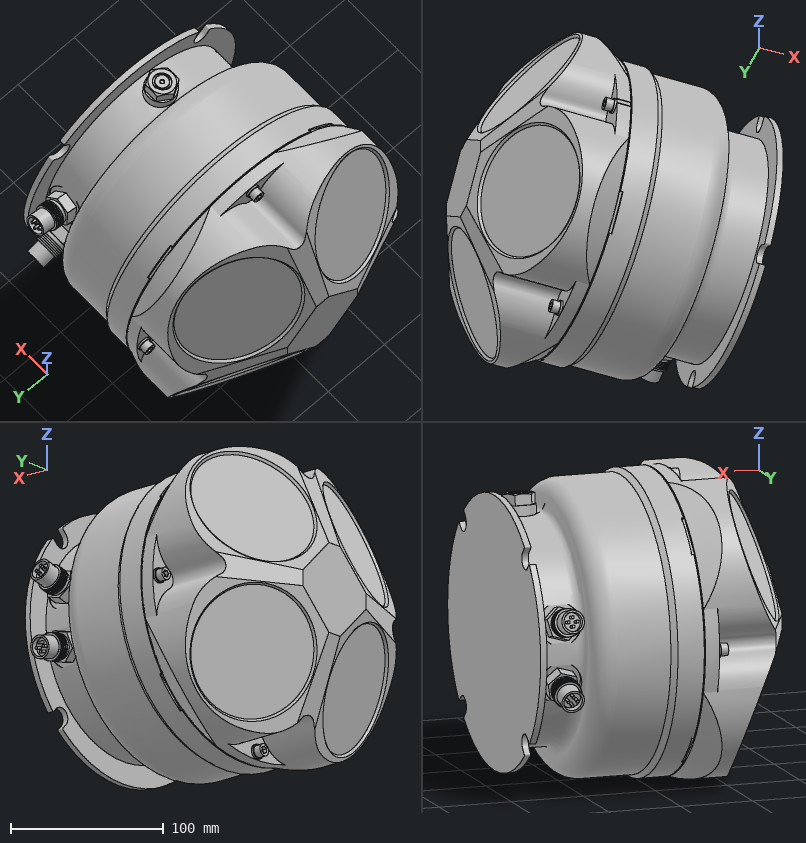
import cadquery as cq
import math


ear_front = 68.3
head_end = 78.1
ring_end = 97.2
ring_bevel_end = 101.0
drum_end = 137.5
shoulder_end = 152.7
neck_start = 159.5
flange_front = 184.5
total_length = 189.0

ring_radius = 102.5
drum_radius = 99.6
shoulder_fillet = shoulder_end - drum_end
neck_radius = 76.9
neck_fillet = neck_start - shoulder_end
flange_radius = 92.5

seam_width = 0.6
seam_depth = 0.8

lobe_radius = 65.5
lobe_offset = 33.2
lobe_distance = lobe_offset * math.sqrt(2)
lobe_corner_radius = 27.9
valley_radius = 7.2
valley_bottom = 82.5
nose_half_width = 31.2
nose_edge_half = 5.5
lens_tilt = 30.0
valley_slope = 0.43
rear_cone_angle = 30.0

lens_diameter = 91.5
lens_distance = 71.3
lens_floor_diameter = 88.5
lens_depth = 1.8

screw_distance = 97.0
washer_diameter = 10.0
washer_thickness = 1.5
screw_head_diameter = 8.5
screw_head_height = 5.3
socket_size = 5.0
socket_depth = 3.0
ear_groove_width = 3.7
ear_groove_depth = 0.5

ring_slot_width = 28.5
ring_slot_length = 2.3
ring_slot_floor = 100.5

notch_width = 12.7
notch_centre = 87.1
notch_corner_fillet = 1.2

plug_x = 169.1
cap_x = 168.0
seat_radius = 75.8
seat_diameter = 28.7
hex_corners = 23.0
plug_angles = (-15.0, 15.0)
cap_angle = 97.5
plug_hex_top = 84.0
plug_hex_turn = -17.0
thread_top = 93.5
thread_diameter = 18.9
thread_root = 17.5
thread_pitch = 2.7
thread_count = 3
plug_top = 103.7
plug_diameter = 15.5
plug_bore = 12.7
plug_bore_depth = 4.0
pin_diameter = 2.0
pin_circle = 6.2
pin_count = 4
cap_base_top = 83.2
cap_top = 91.0
cap_face_diameter = 18.9
cap_bevel_height = 1.0
cap_ring_outer = 12.7
cap_ring_inner = 9.8
cap_ring_depth = 1.2
cap_hole = 3.0

QUARTERS = (0, 90, 180, 270)
DIAGONALS = (45, 135, 225, 315)


def around_axis(shape, angle):
    return shape.rotate((0, 0, 0), (1, 0, 0), angle)


def axial_cylinder(diameter, x_start, x_end, y):
    return cq.Workplane("YZ", origin=(x_start, y, 0)).circle(diameter / 2).extrude(x_end - x_start)


def turned_body():
    diagonal = math.sqrt(0.5)
    shoulder_centre = drum_radius - shoulder_fillet
    profile = (
        cq.Workplane("XY")
        .moveTo(head_end, 0)
        .lineTo(head_end, ring_radius - seam_depth)
        .lineTo(head_end + seam_width, ring_radius - seam_depth)
        .lineTo(head_end + seam_width, ring_radius)
        .lineTo(ring_end, ring_radius)
        .lineTo(ring_bevel_end, drum_radius)
        .lineTo(drum_end, drum_radius)
        .threePointArc(
            (drum_end + shoulder_fillet * diagonal, shoulder_centre + shoulder_fillet * diagonal),
            (shoulder_end, shoulder_centre),
        )
        .lineTo(shoulder_end, neck_radius + neck_fillet)
        .threePointArc(
            (neck_start - neck_fillet * diagonal, neck_radius + neck_fillet * (1 - diagonal)),
            (neck_start, neck_radius),
        )
        .lineTo(flange_front, neck_radius)
        .lineTo(flange_front, 0)
        .close()
    )
    return profile.revolve(360, (0, 0, 0), (1, 0, 0))


def head_outline():
    """Four lobes joined by rounded valleys, one quarter at a time."""
    diagonal = math.sqrt(0.5)
    valley_centre = valley_bottom + valley_radius
    valley_u = valley_centre * diagonal
    corner_reach = lobe_radius - lobe_corner_radius
    valley_reach = valley_radius + lobe_corner_radius
    span = math.hypot(valley_u - lobe_distance, valley_u)
    span_angle = math.atan2(valley_u, valley_u - lobe_distance)
    spread = math.acos((corner_reach ** 2 + span ** 2 - valley_reach ** 2) / (2 * corner_reach * span))
    lobe_end = span_angle - spread

    def on_circle(centre, radius, angle):
        return centre[0] + radius * math.cos(angle), centre[1] + radius * math.sin(angle)

    lobe_centre = (lobe_distance, 0)
    corner_centre = on_circle(lobe_centre, corner_reach, lobe_end)
    valley_centre_point = (valley_u, valley_u)
    corner_end = math.atan2(valley_u - corner_centre[1], valley_u - corner_centre[0])
    valley_start = corner_end + math.pi
    valley_floor_angle = 1.25 * math.pi

    lobe_join = on_circle(lobe_centre, lobe_radius, lobe_end)
    corner_mid = on_circle(corner_centre, lobe_corner_radius, (lobe_end + corner_end) / 2)
    corner_join = on_circle(corner_centre, lobe_corner_radius, corner_end)
    valley_mid = on_circle(valley_centre_point, valley_radius, (valley_start + valley_floor_angle) / 2)
    floor = on_circle(valley_centre_point, valley_radius, valley_floor_angle)

    def mirrored(point):
        return point[0], -point[1]

    wire = cq.Workplane("YZ")
    for index, turn in enumerate(DIAGONALS):
        cosine = math.cos(math.radians(turn))
        sine = math.sin(math.radians(turn))

        def place(point):
            return point[0] * cosine - point[1] * sine, point[0] * sine + point[1] * cosine

        if index == 0:
            wire = wire.moveTo(*place(mirrored(floor)))
        wire = (
            wire.threePointArc(place(mirrored(valley_mid)), place(mirrored(corner_join)))
            .threePointArc(place(mirrored(corner_mid)), place(mirrored(lobe_join)))
            .threePointArc(place((lobe_distance + lobe_radius, 0)), place(lobe_join))
            .threePointArc(place(corner_mid), place(corner_join))
            .threePointArc(place(valley_mid), place(floor))
        )
    return wire.close()


def nose_section(x):
    """Corners of the octagonal section of the nose pyramid at x."""
    lens_edge = nose_half_width + nose_edge_half + x / math.tan(math.radians(lens_tilt)) * math.sqrt(2)
    far = nose_half_width + x / valley_slope
    near = lens_edge - far
    return [
        (far, near), (near, far), (-near, far), (-far, near),
        (-far, -near), (-near, -far), (near, -far), (far, -near),
    ]


def nose_pyramid():
    return (
        cq.Workplane("YZ")
        .polyline(nose_section(0)).close()
        .workplane(offset=head_end)
        .polyline(nose_section(head_end)).close()
        .loft(ruled=True, combine=True)
    )


def rear_cone():
    front_radius = ring_radius + head_end * math.tan(math.radians(rear_cone_angle))
    return (
        cq.Workplane("XY")
        .polyline([(0, 0), (0, front_radius), (head_end, ring_radius), (head_end, 0)])
        .close()
        .revolve(360, (0, 0, 0), (1, 0, 0))
    )


def lens_seat():
    """Cutter for the shallow tapered seat in the lens face that leans towards +Y."""
    tilt = math.radians(lens_tilt)
    face_start = (nose_half_width + nose_edge_half) * math.sqrt(0.5)
    centre_x = (lens_distance - face_start) * math.tan(tilt)
    outward = (-math.cos(tilt), math.sin(tilt), 0)
    face = cq.Plane(origin=(centre_x, lens_distance, 0), xDir=(0, 0, 1), normal=outward)
    return (
        cq.Workplane(face)
        .circle(lens_diameter / 2)
        .workplane(offset=-lens_depth)
        .circle(lens_floor_diameter / 2)
        .loft(combine=True)
    )


def head():
    lobes = head_outline().extrude(head_end)
    body = lobes.intersect(nose_pyramid()).intersect(rear_cone())
    for angle in DIAGONALS:
        body = body.cut(around_axis(lens_seat(), angle))
    ears = cq.Workplane("YZ", origin=(ear_front, 0, 0)).circle(ring_radius).extrude(head_end - ear_front)
    return body.union(ears).cut(ear_groove())


def ear_groove():
    """Cutter for the shallow axial groove in the ear on the -Y side."""
    length = head_end - ear_front
    return cq.Workplane("XY").box(length, 2 * ear_groove_depth, ear_groove_width).translate(
        (ear_front + length / 2, -ring_radius, 0)
    )


def head_screw():
    washer_front = ear_front - washer_thickness
    head_front = washer_front - screw_head_height
    washer = axial_cylinder(washer_diameter, washer_front, ear_front, screw_distance)
    screw = axial_cylinder(screw_head_diameter, head_front, ear_front, screw_distance)
    socket = (
        cq.Workplane("YZ", origin=(head_front, screw_distance, 0))
        .polygon(6, socket_size)
        .extrude(socket_depth)
    )
    return washer.union(screw).cut(socket)


def ring_slot():
    depth = ring_radius - ring_slot_floor
    return cq.Workplane("XY").box(ring_slot_length, 2 * depth, ring_slot_width).translate(
        (head_end + ring_slot_length / 2, ring_radius, 0)
    )


def flange_notch():
    thickness = total_length - flange_front
    plate = cq.Workplane("YZ", origin=(flange_front, 0, 0))
    round_end = plate.center(notch_centre, 0).circle(notch_width / 2).extrude(thickness)
    reach = flange_radius - notch_centre
    mouth = plate.center(notch_centre + reach / 2, 0).rect(reach, notch_width).extrude(thickness)
    return round_end.union(mouth)


def flange():
    thickness = total_length - flange_front
    plate = cq.Workplane("YZ", origin=(flange_front, 0, 0)).circle(flange_radius).extrude(thickness)
    for angle in DIAGONALS:
        plate = plate.cut(around_axis(flange_notch(), angle))

    def is_mouth_corner(edge):
        centre = edge.Center()
        on_rim = math.hypot(centre.y, centre.z) > flange_radius - notch_corner_fillet
        return on_rim and abs(centre.z) > notch_width

    return plate.edges("|X").filter(is_mouth_corner).fillet(notch_corner_fillet)


def radial_plane(distance):
    """Plane square to +Y at the given distance, its local x along the main axis."""
    return cq.Workplane(cq.Plane(origin=(0, distance, 0), xDir=(1, 0, 0), normal=(0, 1, 0)))


def radial_cylinder(diameter, start, end):
    return radial_plane(start).circle(diameter / 2).extrude(end - start)


def plug_seat():
    return radial_cylinder(seat_diameter, seat_radius, ring_radius)


def plug_connector():
    """Hexagon, threaded collar and a plug with pins in its open end."""
    hexagon = (
        radial_plane(seat_radius)
        .transformed(rotate=(0, 0, plug_hex_turn))
        .polygon(6, hex_corners)
        .extrude(plug_hex_top - seat_radius)
    )
    plug = hexagon.union(radial_cylinder(thread_root, plug_hex_top, thread_top))
    for index in range(thread_count):
        crest_end = thread_top - index * thread_pitch
        plug = plug.union(radial_cylinder(thread_diameter, crest_end - thread_pitch / 2, crest_end))
    plug = plug.union(radial_cylinder(plug_diameter, thread_top, plug_top))
    bore_floor = plug_top - plug_bore_depth
    plug = plug.cut(radial_cylinder(plug_bore, bore_floor, plug_top))
    pins = (
        radial_plane(bore_floor)
        .polarArray(pin_circle / 2, 0, 360, pin_count)
        .circle(pin_diameter / 2)
        .extrude(plug_bore_depth)
    )
    return plug.union(pins)


def cap_connector():
    """Round base under a hexagonal cap with a ring groove and a small centre hole."""
    base = radial_cylinder(hex_corners, seat_radius, cap_base_top)
    cap = radial_plane(cap_base_top).polygon(6, hex_corners).extrude(cap_top - cap_base_top)
    bevel_width = (hex_corners - cap_face_diameter) / 2
    blank = radial_cylinder(hex_corners, cap_base_top, cap_top)
    bevelled_blank = blank.faces(">Y").chamfer(cap_bevel_height, bevel_width)
    groove = (
        radial_plane(cap_top - cap_ring_depth)
        .circle(cap_ring_outer / 2)
        .circle(cap_ring_inner / 2)
        .extrude(cap_ring_depth)
    )
    hole = radial_cylinder(cap_hole, cap_top - cap_ring_depth, cap_top)
    return base.union(cap.intersect(bevelled_blank)).cut(groove).cut(hole)


result = turned_body().union(flange()).union(head())
for quarter in QUARTERS:
    result = result.union(around_axis(head_screw(), quarter))
for diagonal_angle in DIAGONALS:
    result = result.cut(around_axis(ring_slot(), diagonal_angle))
for plug_angle in plug_angles:
    result = result.cut(around_axis(plug_seat().translate((plug_x, 0, 0)), plug_angle))
    result = result.union(around_axis(plug_connector().translate((plug_x, 0, 0)), plug_angle))
result = result.union(around_axis(cap_connector().translate((cap_x, 0, 0)), cap_angle))